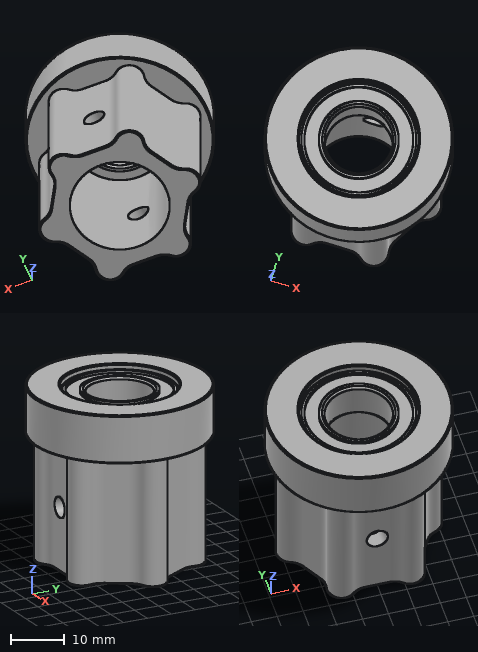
import cadquery as cq
import math

total_height = 34.92
head_radius = 17.45
head_height = 9.5
body_height = total_height - head_height
edge_chamfer = 0.25

lobe_count = 6
lobe_step = 360.0 / lobe_count
lobe_radius = 2.8
lobe_center_radius = 13.13
flat_distance = 12.57
flat_half_width = 2.35

hub_bore_radius = 9.25
cross_hole_radius = 2.03
cross_hole_height = body_height / 2

bearing_radius = 11.1
bearing_bore_radius = 6.35
bearing_width = 7.12
bearing_chamfer = 0.45
bearing_recess = 0.95
shield_outer_radius = 10.1
shield_inner_radius = 7.4
shield_depth = 0.52
bearing_top = total_height - bearing_recess
bearing_bottom = bearing_top - bearing_width


def rotate(point, degrees):
    """Turn a point in the XY plane about the origin."""
    angle = math.radians(degrees)
    x, y = point
    return (
        x * math.cos(angle) - y * math.sin(angle),
        x * math.sin(angle) + y * math.cos(angle),
    )


def lobe_segment_points():
    """Points of one lobe on +X, from the flat before it to the flat after it.

    Each lobe arc runs tangentially into a hollow fillet on both sides, and each
    fillet runs tangentially into the flat midway between two lobes.
    """
    half_step = math.radians(lobe_step / 2)
    lobe_along = lobe_center_radius * math.sin(half_step)
    lobe_out = lobe_center_radius * math.cos(half_step)
    along_gap = lobe_along - flat_half_width
    out_gap = flat_distance - lobe_out
    fillet_radius = (along_gap**2 + out_gap**2 - lobe_radius**2) / (2 * (lobe_radius - out_gap))
    fillet_center = (flat_half_width, flat_distance + fillet_radius)

    share = fillet_radius / (fillet_radius + lobe_radius)
    touch = (
        fillet_center[0] + share * along_gap,
        fillet_center[1] + share * (lobe_out - fillet_center[1]),
    )
    half_turn = math.asin(share * along_gap / fillet_radius) / 2
    fillet_middle = (
        fillet_center[0] + fillet_radius * math.sin(half_turn),
        fillet_center[1] - fillet_radius * math.cos(half_turn),
    )
    flat_end = (flat_half_width, flat_distance)

    to_lobe = lobe_step / 2 - 90.0
    after = [rotate(point, to_lobe) for point in (touch, fillet_middle, flat_end)]
    before = [(x, -y) for x, y in reversed(after)]
    tip = (lobe_center_radius + lobe_radius, 0.0)
    return before + [tip] + after


def make_lobed_body():
    segment = lobe_segment_points()
    outline = cq.Workplane("XY").moveTo(*segment[0])
    for index in range(lobe_count):
        points = [rotate(point, index * lobe_step) for point in segment]
        if index > 0:
            outline = outline.lineTo(*points[0])
        outline = outline.threePointArc(points[1], points[2])
        outline = outline.threePointArc(points[3], points[4])
        outline = outline.threePointArc(points[5], points[6])
    return outline.close().extrude(body_height).faces("<Z").chamfer(edge_chamfer)


def make_head():
    head = cq.Workplane("XY", origin=(0, 0, body_height)).circle(head_radius).extrude(head_height)
    return head.faces("<Z or >Z").chamfer(edge_chamfer)


def make_bearing_seat():
    """Cutter for the stepped bore: bearing seat with a chamfered mouth, then the hub bore."""
    profile = [
        (0, 0),
        (hub_bore_radius, 0),
        (hub_bore_radius, bearing_bottom),
        (bearing_radius, bearing_bottom),
        (bearing_radius, total_height - edge_chamfer),
        (bearing_radius + edge_chamfer, total_height),
        (0, total_height),
    ]
    return cq.Workplane("XZ").polyline(profile).close().revolve(360, (0, 0), (0, 1))


def make_cross_hole():
    """Cutter for the hole that crosses the lobed body along Y."""
    hole = cq.Workplane("XZ").center(0, cross_hole_height).circle(cross_hole_radius)
    return hole.extrude(head_radius, both=True)


def make_hub():
    return make_lobed_body().union(make_head()).cut(make_bearing_seat()).cut(make_cross_hole())


def make_shield_recess(base):
    """Cutter for the ring-shaped recess over one shield."""
    recess = cq.Workplane("XY", origin=(0, 0, base))
    return recess.circle(shield_outer_radius).circle(shield_inner_radius).extrude(shield_depth)


def make_bearing():
    ring = cq.Workplane("XY", origin=(0, 0, bearing_bottom))
    bearing = ring.circle(bearing_radius).circle(bearing_bore_radius).extrude(bearing_width)
    bearing = bearing.faces("<Z or >Z").chamfer(bearing_chamfer)
    for base in (bearing_bottom, bearing_top - shield_depth):
        bearing = bearing.cut(make_shield_recess(base))
    return bearing


hub = make_hub()
bearing = make_bearing()

result = cq.Compound.makeCompound([hub.val(), bearing.val()])